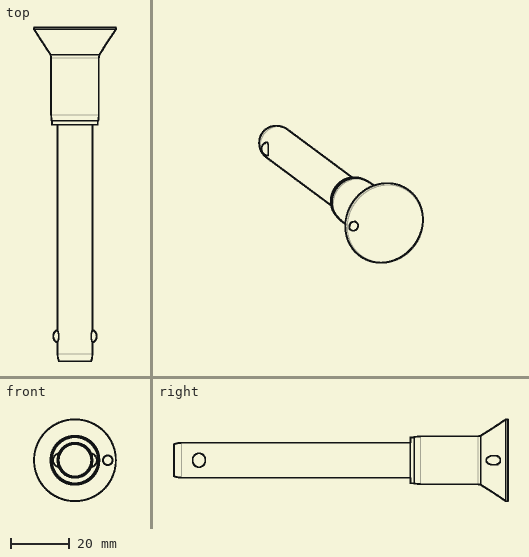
import cadquery as cq


shank_radius = 6.0
shank_length = 80.7
tip_length = 2.6
tip_end_radius = 5.5
tip_middle_radius = 5.88

step_radius = 7.85
step_length = 1.4
collar_radius = 8.2
collar_taper_length = 2.0
collar_taper_end_radius = 8.0
collar_end = 23.0

handle_end = 33.4
flare_radius = 14.0
rim_thickness = 0.8
rim_round_radius = 0.4
flare_start_radius = 8.4
neck_blend_length = 1.0

lanyard_hole_diameter = 3.2
lanyard_hole_offset = 11.2

ball_radius = 2.4
ball_center_offset = 5.05
ball_distance_from_tip = 8.6


def make_body():
    """Revolve the half profile about the Y axis, then round the back edge of the rim."""
    tip_start = tip_length - shank_length
    tip_middle = tip_length / 2 - shank_length
    taper_end = step_length + collar_taper_length
    flare_start = collar_end + neck_blend_length
    rim_start = handle_end - rim_thickness
    profile = (
        cq.Workplane("XY")
        .moveTo(0, -shank_length)
        .lineTo(tip_end_radius, -shank_length)
        .threePointArc((tip_middle_radius, tip_middle), (shank_radius, tip_start))
        .lineTo(shank_radius, 0)
        .lineTo(step_radius, 0)
        .lineTo(step_radius, step_length)
        .lineTo(collar_taper_end_radius, step_length)
        .lineTo(collar_radius, taper_end)
        .lineTo(collar_radius, collar_end)
        .lineTo(flare_start_radius, flare_start)
        .lineTo(flare_radius, rim_start)
        .lineTo(flare_radius, handle_end)
        .lineTo(0, handle_end)
        .close()
    )
    body = profile.revolve(360, (0, 0, 0), (0, 1, 0))
    return body.faces(">Y").edges().fillet(rim_round_radius)


def add_locking_balls(body):
    """Add a ball bulging from each side of the shank near its tip."""
    ball_y = ball_distance_from_tip - shank_length
    for side in (-1, 1):
        ball = cq.Workplane("XY").sphere(ball_radius)
        body = body.union(ball.translate((side * ball_center_offset, ball_y, 0)))
    return body


def cut_lanyard_hole(body):
    """Drill the flare parallel to the pin axis."""
    hole = (
        cq.Workplane("XZ", origin=(lanyard_hole_offset, handle_end, 0))
        .circle(lanyard_hole_diameter / 2)
        .extrude(handle_end)
    )
    return body.cut(hole)


result = cut_lanyard_hole(add_locking_balls(make_body()))